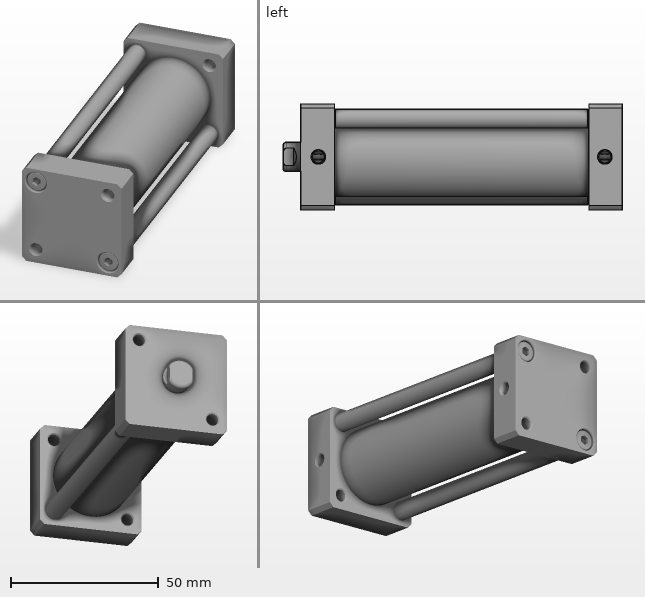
import cadquery as cq
import math

TOTAL_LENGTH = 115.0
CAP_SIZE = 36.0
FRONT_CAP_THICKNESS = 11.4
FRONT_JOINT_GAP = 0.1
REAR_CAP_THICKNESS = 11.5
CAP_CORNER_CHAMFER = 1.5
ROD_PROTRUSION = 6.0

FRONT_FACE = -TOTAL_LENGTH / 2
FRONT_CAP_BACK = FRONT_FACE + FRONT_CAP_THICKNESS
FRONT_SEAT = FRONT_CAP_BACK + FRONT_JOINT_GAP
ROD_TIP = TOTAL_LENGTH / 2
REAR_FACE = ROD_TIP - ROD_PROTRUSION
REAR_CAP_FRONT = REAR_FACE - REAR_CAP_THICKNESS

CORNER_OFFSET = 13.0
TIE_CORNERS = [(-CORNER_OFFSET, CORNER_OFFSET), (CORNER_OFFSET, -CORNER_OFFSET)]
MOUNTING_CORNERS = [(-CORNER_OFFSET, -CORNER_OFFSET), (CORNER_OFFSET, CORNER_OFFSET)]
HOLE_DIAMETER = 4.1
HOLE_MOUTH_DIAMETER = 5.0
MOUTH_CHAMFER = (HOLE_MOUTH_DIAMETER - HOLE_DIAMETER) / 2

PORT_INSET = 6.0
PORT_DEPTH = 6.9
PORT_BAR_DIAMETER = 2.0
DRILL_HALF_ANGLE = 59.0

TIE_DIAMETER = 6.4
TIE_END_CHAMFER = 0.3
TIE_NECK_DIAMETER = HOLE_DIAMETER
REAR_SOCKET_DEPTH = 6.9
TIE_END = REAR_CAP_FRONT + REAR_SOCKET_DEPTH
COUNTERBORE_DIAMETER = 7.5
COUNTERBORE_MOUTH_DIAMETER = 8.0
COUNTERBORE_CHAMFER = (COUNTERBORE_MOUTH_DIAMETER - COUNTERBORE_DIAMETER) / 2
HEAD_HEIGHT = 4.0
HEAD_DIAMETER = 7.0
HEAD_EDGE_RADIUS = 0.5
HEAD_INSET = 0.6
HEAD_TOP = FRONT_FACE + HEAD_INSET
HEAD_SEAT = HEAD_TOP + HEAD_HEIGHT
HEX_ACROSS_FLATS = 3.0
HEX_DEPTH = 1.7
HEX_TURN = 30.0

TUBE_DIAMETER = 26.9
TUBE_BORE = 25.0

ROD_DIAMETER = 10.0
ROD_TIP_RADIUS = 1.2
FLAT_WIDTH = 8.0
FLAT_LENGTH = 3.6


def cylinder_y(diameter, y_start, y_end, x=0.0, z=0.0):
    """Solid cylinder along Y."""
    return (
        cq.Workplane("XZ", origin=(x, y_start, z))
        .circle(diameter / 2)
        .extrude(y_start - y_end)
    )


def cone(base_diameter, top_diameter, height, base_point, direction):
    """Solid cone or cone frustum that narrows from base_point along direction."""
    return cq.Workplane(
        cq.Solid.makeCone(
            base_diameter / 2,
            top_diameter / 2,
            height,
            cq.Vector(*base_point),
            cq.Vector(*direction),
        )
    )


def drill_tip_height(diameter):
    """Height of the cone that a twist drill leaves at the floor of a hole."""
    return diameter / 2 / math.tan(math.radians(DRILL_HALF_ANGLE))


def mounting_hole(x, z, y_start, y_end):
    """Through hole along Y with a chamfered mouth at both ends."""
    near_mouth = cone(HOLE_MOUTH_DIAMETER, HOLE_DIAMETER, MOUTH_CHAMFER, (x, y_start, z), (0, 1, 0))
    far_mouth = cone(HOLE_MOUTH_DIAMETER, HOLE_DIAMETER, MOUTH_CHAMFER, (x, y_end, z), (0, -1, 0))
    return cylinder_y(HOLE_DIAMETER, y_start, y_end, x, z).union(near_mouth).union(far_mouth)


def air_port(y):
    """Blind drilled port from the -X side, less the bar that crosses it."""
    side = -CAP_SIZE / 2
    floor = side + PORT_DEPTH
    bore = cq.Workplane("YZ", origin=(side, y, 0)).circle(HOLE_DIAMETER / 2).extrude(PORT_DEPTH)
    mouth = cone(HOLE_MOUTH_DIAMETER, HOLE_DIAMETER, MOUTH_CHAMFER, (side, y, 0), (1, 0, 0))
    tip = cone(HOLE_DIAMETER, 0, drill_tip_height(HOLE_DIAMETER), (floor, y, 0), (1, 0, 0))
    bar = cylinder_y(PORT_BAR_DIAMETER, y - HOLE_DIAMETER, y + HOLE_DIAMETER, floor)
    return bore.union(mouth).union(tip).cut(bar)


def make_cap(y_start, y_end, port_y):
    """Square end cap with chamfered corners, mounting holes and an air port."""
    cap = (
        cq.Workplane("XZ", origin=(0, y_start, 0))
        .rect(CAP_SIZE, CAP_SIZE)
        .extrude(y_start - y_end)
        .edges("|Y")
        .chamfer(CAP_CORNER_CHAMFER)
    )
    for x, z in MOUNTING_CORNERS:
        cap = cap.cut(mounting_hole(x, z, y_start, y_end))
    return cap.cut(air_port(port_y))


def head_recess(x, z):
    """Counterbore for a tie rod head, with a chamfered mouth."""
    mouth = cone(
        COUNTERBORE_MOUTH_DIAMETER,
        COUNTERBORE_DIAMETER,
        COUNTERBORE_CHAMFER,
        (x, FRONT_FACE, z),
        (0, 1, 0),
    )
    return cylinder_y(COUNTERBORE_DIAMETER, FRONT_FACE, HEAD_SEAT, x, z).union(mouth)


def make_front_cap():
    """Closed cap with counterbored holes for the tie rod heads."""
    cap = make_cap(FRONT_FACE, FRONT_CAP_BACK, FRONT_FACE + PORT_INSET)
    for x, z in TIE_CORNERS:
        cap = cap.cut(cylinder_y(TIE_NECK_DIAMETER, FRONT_FACE, FRONT_CAP_BACK, x, z))
        cap = cap.cut(head_recess(x, z))
    return cap


def make_rear_cap():
    """Cap with the piston rod hole and blind sockets for the tie rods."""
    cap = make_cap(REAR_CAP_FRONT, REAR_FACE, REAR_FACE - PORT_INSET)
    cap = cap.cut(cylinder_y(ROD_DIAMETER, REAR_CAP_FRONT, REAR_FACE))
    for x, z in TIE_CORNERS:
        cap = cap.cut(cylinder_y(TIE_NECK_DIAMETER, REAR_CAP_FRONT, TIE_END, x, z))
    return cap


def make_tube():
    """Plain tube between the caps."""
    return cylinder_y(TUBE_DIAMETER, FRONT_SEAT, REAR_CAP_FRONT).cut(
        cylinder_y(TUBE_BORE, FRONT_SEAT, REAR_CAP_FRONT)
    )


def hex_socket(x, z):
    """Hexagonal socket with a conical floor, corners pointing along Z."""
    across_corners = HEX_ACROSS_FLATS / math.cos(math.radians(HEX_TURN))
    floor = HEAD_TOP + HEX_DEPTH
    hexagon = (
        cq.Workplane("XZ", origin=(x, HEAD_TOP, z))
        .transformed(rotate=(0, 0, HEX_TURN))
        .polygon(6, across_corners)
        .extrude(-HEX_DEPTH)
    )
    tip = cone(HEX_ACROSS_FLATS, 0, drill_tip_height(HEX_ACROSS_FLATS), (x, floor, z), (0, 1, 0))
    return hexagon.union(tip)


def make_tie_rod(x, z):
    """Tie rod: shoulder between the caps, a neck in each cap and a socket head in front."""
    head = cylinder_y(HEAD_DIAMETER, HEAD_TOP, HEAD_SEAT, x, z)
    head = head.faces("<Y").edges().fillet(HEAD_EDGE_RADIUS)
    shoulder = cylinder_y(TIE_DIAMETER, FRONT_SEAT, REAR_CAP_FRONT, x, z)
    shoulder = shoulder.edges().chamfer(TIE_END_CHAMFER)
    neck = cylinder_y(TIE_NECK_DIAMETER, HEAD_SEAT, TIE_END, x, z)
    return shoulder.union(neck).union(head).cut(hex_socket(x, z))


def wrench_flat(side):
    """Material removed beside the rod tip: a flat that runs out at 45 degrees."""
    flat_x = FLAT_WIDTH / 2
    outer_x = ROD_DIAMETER
    flat_end = ROD_TIP - FLAT_LENGTH
    runout_end = flat_end - (outer_x - flat_x)
    return (
        cq.Workplane("XY", origin=(0, 0, -ROD_DIAMETER))
        .polyline(
            [
                (side * flat_x, ROD_TIP),
                (side * flat_x, flat_end),
                (side * outer_x, runout_end),
                (side * outer_x, ROD_TIP),
            ]
        )
        .close()
        .extrude(2 * ROD_DIAMETER)
    )


def make_piston_rod():
    """Round rod through the rear cap, with a rounded tip and two wrench flats."""
    rod = cylinder_y(ROD_DIAMETER, FRONT_SEAT, ROD_TIP)
    rod = rod.faces(">Y").edges().fillet(ROD_TIP_RADIUS)
    for side in (-1, 1):
        rod = rod.cut(wrench_flat(side))
    return rod


front_cap = make_front_cap()
rear_cap = make_rear_cap()
tube = make_tube()
piston_rod = make_piston_rod()
tie_rods = [make_tie_rod(x, z) for x, z in TIE_CORNERS]

result = cq.Compound.makeCompound(
    [
        front_cap.val(),
        rear_cap.val(),
        tube.val(),
        piston_rod.val(),
        *[tie_rod.val() for tie_rod in tie_rods],
    ]
)